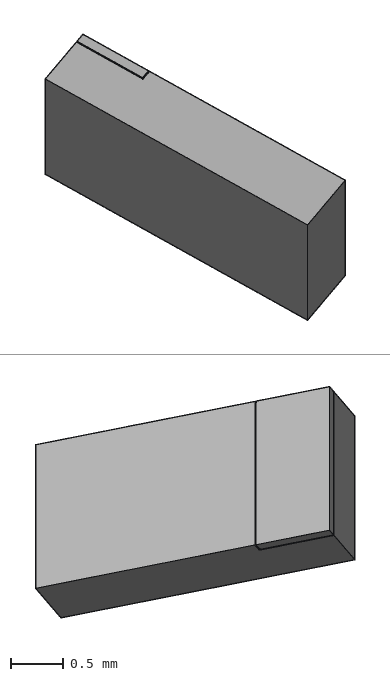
import cadquery as cq

length = 3.05
depth = 0.64
height = 1.57

plate_length = 0.762
plate_thickness = 0.1
clearance = 0.012


def corner_slab(slab_length, slab_thickness):
    """Full-height slab filling the rear left corner of the block."""
    return cq.Workplane("XY").box(slab_length, slab_thickness, height, centered=False).translate(
        (0, depth - slab_thickness, 0)
    )


def make_body():
    """Block with a full-height corner recess for the plate."""
    block = cq.Workplane("XY").box(length, depth, height, centered=False)
    recess = corner_slab(plate_length + clearance, plate_thickness + clearance)
    return block.cut(recess)


def make_plate():
    """Plate flush with the outer faces of the block."""
    return corner_slab(plate_length, plate_thickness)


body = make_body()
plate = make_plate()

result = cq.Compound.makeCompound([body.val(), plate.val()])